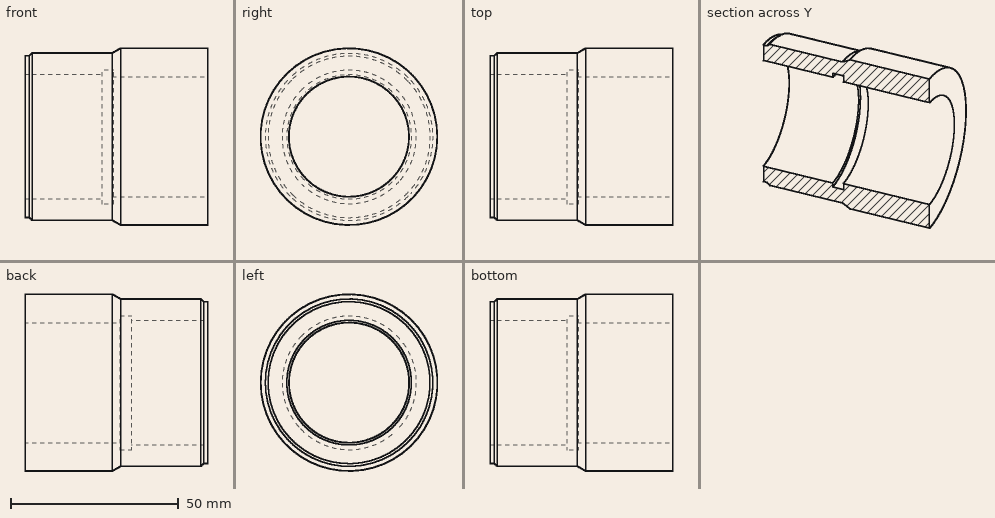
import cadquery as cq

length = 54.5

lip_diameter = 48.35
spigot_diameter = 50.0
body_diameter = 52.8
lip_length = 1.2
spigot_chamfer_length = 0.85
shoulder_start = 26.0
shoulder_end = 28.45

entry_bore_diameter = 37.2
groove_diameter = 40.0
through_bore_diameter = 35.8
entry_bore_depth = 26.25
groove_width = 3.5


def bore(diameter, start, depth):
    """Cylinder along +X used to cut one section of the stepped bore."""
    return cq.Workplane("YZ", origin=(start, 0, 0)).circle(diameter / 2).extrude(depth)


outside_profile = [
    (0, 0),
    (0, lip_diameter / 2),
    (lip_length, lip_diameter / 2),
    (lip_length + spigot_chamfer_length, spigot_diameter / 2),
    (shoulder_start, spigot_diameter / 2),
    (shoulder_end, body_diameter / 2),
    (length, body_diameter / 2),
    (length, 0),
]
body = cq.Workplane("XY").polyline(outside_profile).close().revolve(360, (0, 0, 0), (1, 0, 0))

result = (
    body.cut(bore(through_bore_diameter, 0, length))
    .cut(bore(entry_bore_diameter, 0, entry_bore_depth))
    .cut(bore(groove_diameter, entry_bore_depth - groove_width, groove_width))
)